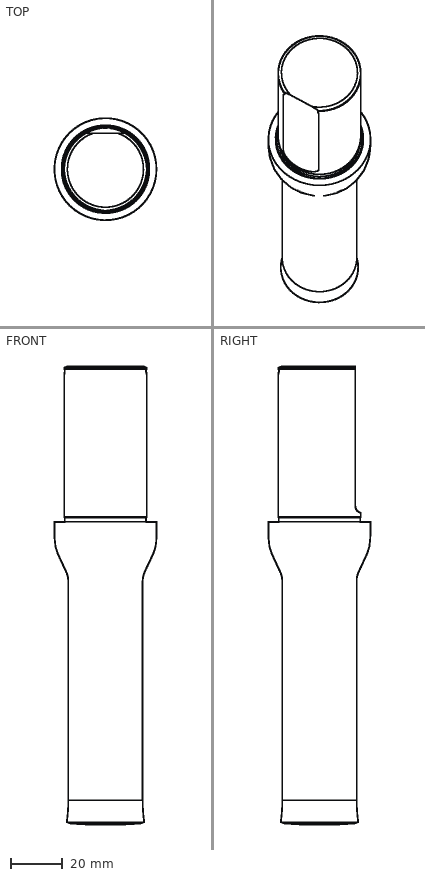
import cadquery as cq
import math

total_length = 177.0
shank_length = 60.0
flange_top = total_length - shank_length
flange_thickness = 4.8
flange_bottom = flange_top - flange_thickness
bulb_bottom = 94.0
crown_top = 9.6
crown_rim_height = 1.1
crown_cone_height = 0.5

shank_radius = 31.99 / 2
groove_radius = 31.5 / 2
flange_radius = 39.5 / 2
drill_body_radius = 28.8 / 2
crown_radius = 30.0 / 2
crown_chamfer_width = 1.5
tip_flat_radius = 5.5
bulb_arc_radius = 24.0

end_face_radius = 14.7
end_chamfer_depth = 0.5
end_groove_start = 1.0
end_groove_floor_end = 2.0
end_groove_end = 3.1

neck_length = 2.0
neck_chamfer_height = 0.5
relief_radius = 17.0
relief_depth = 0.5

flat_offset = 13.9
flat_bottom = flange_top + 3.5
flat_runout_radius = 2.5


def bulb_curve_points():
    """Points on the bulb outline: a concave arc off the drill body, then a convex arc to the flange."""
    radial_step = flange_radius - drill_body_radius
    height = flange_bottom - bulb_bottom
    radii_sum = (radial_step**2 + height**2) / (2 * radial_step)
    concave_arc_radius = radii_sum - bulb_arc_radius
    sweep = math.asin(height / radii_sum)
    concave_offset = concave_arc_radius * (1 - math.cos(sweep))
    junction = (drill_body_radius + concave_offset, bulb_bottom + concave_arc_radius * math.sin(sweep))
    convex_offset = bulb_arc_radius * (1 - math.cos(sweep / 2))
    convex_middle = (flange_radius - convex_offset, flange_bottom - bulb_arc_radius * math.sin(sweep / 2))
    return [junction, convex_middle, (flange_radius, flange_bottom)]


def make_holder():
    """Turned drill body: shank, flange, bulb and slim front part, with one flat on the shank."""
    neck_top = flange_top + neck_length
    profile = (
        cq.Workplane("XZ")
        .moveTo(0, crown_top)
        .lineTo(drill_body_radius, crown_top)
        .lineTo(drill_body_radius, bulb_bottom)
        .spline(bulb_curve_points(), tangents=[(0, 1), (0, 1)], includeCurrent=True)
        .lineTo(flange_radius, flange_top)
        .lineTo(relief_radius, flange_top)
        .lineTo(relief_radius - relief_depth, flange_top - relief_depth)
        .lineTo(groove_radius, flange_top - relief_depth)
        .lineTo(groove_radius, neck_top - neck_chamfer_height)
        .lineTo(shank_radius, neck_top)
        .lineTo(shank_radius, total_length - end_groove_end)
        .lineTo(groove_radius, total_length - end_groove_floor_end)
        .lineTo(groove_radius, total_length - end_groove_start)
        .lineTo(shank_radius, total_length - end_groove_start)
        .lineTo(shank_radius, total_length - end_chamfer_depth)
        .lineTo(end_face_radius, total_length)
        .lineTo(0, total_length)
        .close()
    )
    turned = profile.revolve(360, (0, 0, 0), (0, 1, 0))
    return turned.cut(make_flat_cutter())


def make_flat_cutter():
    """Block beyond the flat, whose lower inner edge is rounded to form the runout."""
    cutter_depth = flange_radius - flat_offset
    cutter_height = total_length - flat_bottom
    return (
        cq.Workplane("XY")
        .box(2 * flange_radius, cutter_depth, cutter_height, centered=(True, False, False))
        .edges("<Y and <Z")
        .fillet(flat_runout_radius)
        .translate((0, flat_offset, flat_bottom))
    )


def flare_middle():
    """Middle point of the crown's flare arc, which starts tangent to the drill body."""
    flare = crown_radius - drill_body_radius
    height = crown_top - crown_rim_height
    arc_radius = (flare**2 + height**2) / (2 * flare)
    half_angle = math.asin(height / arc_radius) / 2
    radius = drill_body_radius + arc_radius * (1 - math.cos(half_angle))
    return radius, crown_top - arc_radius * math.sin(half_angle)


def make_crown():
    """Cutting crown: flares out from the drill body and ends in a chamfer and a shallow blunt cone."""
    return (
        cq.Workplane("XZ")
        .moveTo(0, crown_top)
        .lineTo(drill_body_radius, crown_top)
        .threePointArc(flare_middle(), (crown_radius, crown_rim_height))
        .lineTo(crown_radius - crown_chamfer_width, crown_cone_height)
        .lineTo(tip_flat_radius, 0)
        .lineTo(0, 0)
        .close()
        .revolve(360, (0, 0, 0), (0, 1, 0))
    )


holder = make_holder()
crown = make_crown()

result = cq.Compound.makeCompound([holder.val(), crown.val()])